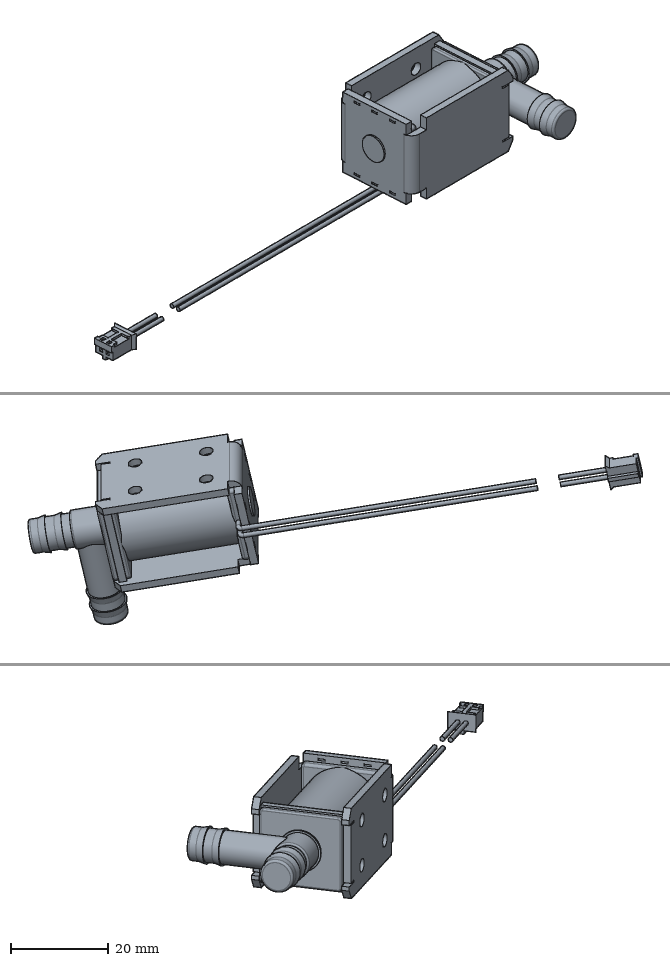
import cadquery as cq


SHEET = 1.7
FRAME_WIDTH = 21.1
SIDE_HEIGHT = 19.9
SIDE_RISE = 0.1
FRONT_HEIGHT = 19.6
REAR_HEIGHT = 17.1
FRAME_LENGTH = 30.3
REAR_FACE = 29.2
BEND_RADIUS = 2.3
BEND_HEIGHT = 14.3
LEFT_RELIEF_END = 2.7
RIGHT_RELIEF_END = 4.3
REAR_CORNER = (1.4, 2.2)
TAB_HEIGHT = 12.7
SLIT_WIDTH = 0.4
SLIT_END = 27.3
MOUNT_HOLE_DIAMETER = 2.8
MOUNT_HOLE_PLACES_Y = (7.1, 22.0)
MOUNT_HOLE_PITCH_Z = 10.0
EAR_SLOT = (1.5, 0.4)
EAR_SLOT_PITCH = 5.0
EAR_SLOT_HEIGHT = 8.8

COIL_DIAMETER = 16.3
FLANGE_HEIGHT = 16.3
FLANGE_CORNER = 0.8
FRONT_FLANGE = 1.7
REAR_FLANGE = 1.0
FRONT_RIM = 0.6
REAR_RIM = 0.4
POLE_DIAMETER = 6.1
POLE_PROTRUSION = 0.4
BOSS_DIAMETER = 8.2
BOSS_END = 37.1
BOSS_ROUNDING = 0.4
COLLAR_DIAMETER = 9.0
COLLAR_LENGTH = 0.4
PIPE_DIAMETER = 7.1
PIPE_ROUNDING = 0.5
BARB_DIAMETER = 7.9
BARB_LENGTH = 1.5
BARB_FROM_TIP = (3.6, 7.0)
REAR_PIPE_TIP = 45.9
SIDE_PIPE_TIP = 22.4
SIDE_PIPE_Y = 33.4

WIRE_DIAMETER = 1.0
WIRE_PITCH = 1.8
WIRE_Z = -10.6
WIRE_EXIT_Y = 2.3
WIRE_BEND = 0.8
WIRE_CUT_END = -59.9
STUB_START = -64.7

PLUG_WIDTH = 4.8
PLUG_TOP = -8.8
PLUG_BOTTOM = -12.4
PLUG_BACK = -74.8
PLUG_FRONT = -81.1
LIP_FRONT = -81.5
LIP_BOTTOM = -10.3
PLUG_COLLAR_WIDTH = 6.1
PLUG_COLLAR_TOP = -8.5
PLUG_COLLAR_TAPER = 0.8
KEY_WIDTH = 0.9
KEY_BOTTOM = -13.1
SHELF_Z = -9.3
SHELF_WIDTH = 0.4
SHELF_ENDS = (-80.5, -76.3)
RIDGE_WIDTH = 0.9
POCKET_ENDS = (-79.5, -76.4)
WINDOW_WIDTH = 0.8
WINDOW_ENDS = (-81.0, -80.1)
SOCKET_SIZE = 0.8
SOCKET_Z = -11.2
SOCKET_DEPTH = 2.5

HALF_WIDTH = FRAME_WIDTH / 2
INNER_WIDTH = FRAME_WIDTH - 2 * SHEET
REAR_INNER_FACE = REAR_FACE - SHEET


def block(x_range, y_range, z_range):
    """Box between the given limits."""
    (x0, x1), (y0, y1), (z0, z1) = x_range, y_range, z_range
    return cq.Workplane("XY").box(x1 - x0, y1 - y0, z1 - z0, centered=False).translate((x0, y0, z0))


def around(place, width):
    """Limits of a given width, centred at a place."""
    return (place - width / 2, place + width / 2)


def centred_block(width, y_range, height):
    """Box centred on the coil axis."""
    return block(around(0, width), y_range, around(0, height))


def cylinder_y(diameter, y_start, y_end):
    """Cylinder on the coil axis."""
    return cq.Workplane("XZ", origin=(0, y_start, 0)).circle(diameter / 2).extrude(y_start - y_end)


def side_plate(x_start, y_start):
    """Upright plate with chamfered rear corners."""
    cut_y, cut_z = REAR_CORNER
    top = SIDE_RISE + SIDE_HEIGHT / 2
    bottom = SIDE_RISE - SIDE_HEIGHT / 2
    return (
        cq.Workplane("YZ", origin=(x_start, 0, 0))
        .moveTo(y_start, bottom)
        .lineTo(FRAME_LENGTH - cut_y, bottom)
        .lineTo(FRAME_LENGTH, bottom + cut_z)
        .lineTo(FRAME_LENGTH, top - cut_z)
        .lineTo(FRAME_LENGTH - cut_y, top)
        .lineTo(y_start, top)
        .close()
        .extrude(SHEET)
    )


def bent_front():
    """Front plate with its two bends, and the ears above and below them."""
    outer = centred_block(FRAME_WIDTH, (0, RIGHT_RELIEF_END), BEND_HEIGHT)
    outer = outer.edges("|Z and <Y").fillet(BEND_RADIUS)
    inner = centred_block(INNER_WIDTH, (SHEET, RIGHT_RELIEF_END), BEND_HEIGHT)
    ears = centred_block(INNER_WIDTH, (0, SHEET), FRONT_HEIGHT)
    ears = ears.cut(centred_block(INNER_WIDTH, (0, SHEET), BEND_HEIGHT))
    return outer.cut(inner).union(ears)


def ear_slots():
    slots = cq.Workplane("XZ")
    places = [(i * EAR_SLOT_PITCH, side * EAR_SLOT_HEIGHT) for i in (-1, 0, 1) for side in (-1, 1)]
    return slots.pushPoints(places).rect(*EAR_SLOT).extrude(-SHEET)


def rear_joint_cut():
    """Slits beside the rear plate's joints to both side plates, and the setback behind it."""
    cut = block(around(0, FRAME_WIDTH), (REAR_FACE, FRAME_LENGTH), around(0, TAB_HEIGHT))
    for side in (-1, 1):
        slit_z = side * (TAB_HEIGHT + SLIT_WIDTH) / 2
        slits = block(around(0, FRAME_WIDTH), (SLIT_END, FRAME_LENGTH), around(slit_z, SLIT_WIDTH))
        cut = cut.union(slits)
    return cut


def mount_holes():
    places = [(y, side * MOUNT_HOLE_PITCH_Z / 2) for y in MOUNT_HOLE_PLACES_Y for side in (-1, 1)]
    plane = cq.Workplane("YZ", origin=(-HALF_WIDTH, 0, 0))
    return plane.pushPoints(places).circle(MOUNT_HOLE_DIAMETER / 2).extrude(SHEET)


def make_frame():
    left = side_plate(-HALF_WIDTH, LEFT_RELIEF_END).cut(rear_joint_cut()).cut(mount_holes())
    right = side_plate(HALF_WIDTH - SHEET, RIGHT_RELIEF_END).cut(rear_joint_cut())
    rear = centred_block(INNER_WIDTH, (REAR_INNER_FACE, REAR_FACE), REAR_HEIGHT)
    frame = bent_front().cut(ear_slots()).union(left).union(right).union(rear)
    frame = frame.cut(cylinder_y(POLE_DIAMETER, 0, SHEET))
    return frame.cut(cylinder_y(BOSS_DIAMETER, REAR_INNER_FACE, REAR_FACE))


def flange(y_start, y_end, rim_face, rim):
    """Rounded flange that fits between the side plates, with one face's rim rounded."""
    plate = centred_block(INNER_WIDTH, (y_start, y_end), FLANGE_HEIGHT)
    return plate.edges("|Y").fillet(FLANGE_CORNER).faces(rim_face).edges().fillet(rim)


def hose_pipe(length):
    """Barbed pipe along +Z, from the origin to its rounded tip."""
    pipe = cq.Workplane("XY").circle(PIPE_DIAMETER / 2).extrude(length)
    pipe = pipe.faces(">Z").edges().fillet(PIPE_ROUNDING)
    for from_tip in BARB_FROM_TIP:
        barb = (
            cq.Workplane("XY", origin=(0, 0, length - from_tip))
            .circle(BARB_DIAMETER / 2)
            .workplane(offset=BARB_LENGTH)
            .circle(PIPE_DIAMETER / 2)
            .loft()
        )
        pipe = pipe.union(barb)
    return pipe


def fitting():
    """Boss with one pipe along the coil axis and one to the side."""
    boss = cylinder_y(BOSS_DIAMETER, REAR_INNER_FACE, BOSS_END).faces(">Y").edges().fillet(BOSS_ROUNDING)
    collar = cylinder_y(COLLAR_DIAMETER, REAR_FACE, FRAME_LENGTH + COLLAR_LENGTH)
    rear_pipe = hose_pipe(REAR_PIPE_TIP - SIDE_PIPE_Y).rotate((0, 0, 0), (1, 0, 0), -90)
    side_pipe = hose_pipe(SIDE_PIPE_TIP).rotate((0, 0, 0), (0, 1, 0), 90)
    body = boss.union(collar)
    for pipe in (rear_pipe, side_pipe):
        body = body.union(pipe.translate((0, SIDE_PIPE_Y, 0)))
    return body


def lead_wire(x):
    """Wire that leaves the front flange downwards and bends forwards."""
    start_z = -FLANGE_HEIGHT / 2 + WIRE_DIAMETER / 2
    path = (
        cq.Workplane("YZ", origin=(x, 0, 0))
        .moveTo(WIRE_EXIT_Y, start_z)
        .lineTo(WIRE_EXIT_Y, WIRE_Z + WIRE_BEND)
        .tangentArcPoint((WIRE_EXIT_Y - WIRE_BEND, WIRE_Z), relative=False)
        .lineTo(WIRE_CUT_END, WIRE_Z)
    )
    return cq.Workplane("XY", origin=(x, WIRE_EXIT_Y, start_z)).circle(WIRE_DIAMETER / 2).sweep(path)


def make_valve():
    valve = cylinder_y(COIL_DIAMETER, SHEET, REAR_INNER_FACE)
    valve = valve.union(flange(SHEET, SHEET + FRONT_FLANGE, ">Y", FRONT_RIM))
    valve = valve.union(flange(REAR_INNER_FACE - REAR_FLANGE, REAR_INNER_FACE, "<Y", REAR_RIM))
    valve = valve.union(flange(REAR_FACE, FRAME_LENGTH, ">Y", REAR_RIM))
    valve = valve.union(cylinder_y(POLE_DIAMETER, -POLE_PROTRUSION, SHEET))
    valve = valve.union(fitting())
    for side in (-1, 1):
        valve = valve.union(lead_wire(side * WIRE_PITCH / 2))
    return valve


def plug_collar():
    """Collar at the back of the plug, tapering to the plug's section."""
    back_height = PLUG_COLLAR_TOP - PLUG_BOTTOM
    front_height = PLUG_TOP - PLUG_BOTTOM
    return (
        cq.Workplane("XZ", origin=(0, PLUG_BACK, PLUG_BOTTOM))
        .center(0, back_height / 2)
        .rect(PLUG_COLLAR_WIDTH, back_height)
        .workplane(offset=PLUG_COLLAR_TAPER)
        .center(0, (front_height - back_height) / 2)
        .rect(PLUG_WIDTH, front_height)
        .loft()
    )


def plug_shell():
    """Plug body with its lip, collar and key."""
    body = block(around(0, PLUG_WIDTH), (PLUG_FRONT, PLUG_BACK), (PLUG_BOTTOM, PLUG_TOP))
    lip = block(around(0, PLUG_WIDTH), (LIP_FRONT, PLUG_FRONT), (LIP_BOTTOM, PLUG_TOP))
    key = block(around(0, KEY_WIDTH), (PLUG_FRONT, PLUG_BACK), (KEY_BOTTOM, PLUG_BOTTOM))
    return body.union(lip).union(key).union(plug_collar())


def contact_cuts(side):
    """Shelf, pocket, window and socket on one side of the plug."""
    x = side * WIRE_PITCH / 2
    shelf_x = side * (PLUG_WIDTH - SHELF_WIDTH) / 2
    pocket_width = (PLUG_WIDTH - RIDGE_WIDTH) / 2
    pocket_x = side * (RIDGE_WIDTH + pocket_width) / 2
    top = (SHELF_Z, PLUG_TOP)
    socket_y = (PLUG_FRONT, PLUG_FRONT + SOCKET_DEPTH)
    return (
        block(around(shelf_x, SHELF_WIDTH), SHELF_ENDS, top)
        .union(block(around(pocket_x, pocket_width), POCKET_ENDS, top))
        .union(block(around(x, WINDOW_WIDTH), WINDOW_ENDS, top))
        .union(block(around(x, SOCKET_SIZE), socket_y, around(SOCKET_Z, SOCKET_SIZE)))
    )


def make_connector():
    plug = plug_shell()
    for side in (-1, 1):
        stub = cylinder_y(WIRE_DIAMETER, PLUG_BACK, STUB_START)
        plug = plug.cut(contact_cuts(side))
        plug = plug.union(stub.translate((side * WIRE_PITCH / 2, 0, WIRE_Z)))
    return plug


frame = make_frame()
valve = make_valve()
connector = make_connector()

result = cq.Compound.makeCompound([frame.val(), valve.val(), connector.val()])